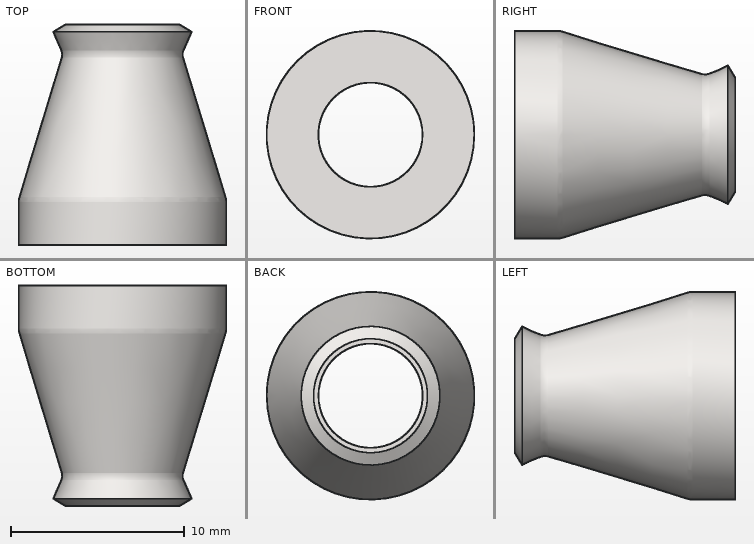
import cadquery as cq

length = 12.75
base_diameter = 12.0
base_radius = base_diameter / 2
bore_radius = base_radius / 2
base_end = 2.64
neck_radius = 3.44
neck_position = 11.04
lip_radius = 4.0
lip_position = 12.32
tip_radius = 3.29
shoulder_blend = 1.0
neck_blend = 0.59

half_section = (
    cq.Workplane("XY")
    .moveTo(bore_radius, 0)
    .lineTo(base_radius, 0)
    .lineTo(base_radius, base_end)
    .lineTo(neck_radius, neck_position)
    .lineTo(lip_radius, lip_position)
    .lineTo(tip_radius, length)
    .lineTo(bore_radius, length)
    .close()
)
body = half_section.revolve(360, (0, 0, 0), (0, 1, 0))


def blend_ring(solid, position, radius):
    """Round the circular edge lying at the given position along Y."""
    margin = 0.01
    reach = base_diameter
    ring = cq.selectors.BoxSelector(
        (-reach, position - margin, -reach),
        (reach, position + margin, reach),
        boundingbox=True,
    )
    return solid.edges(ring).fillet(radius)


body = blend_ring(body, base_end, shoulder_blend)
result = blend_ring(body, neck_position, neck_blend)